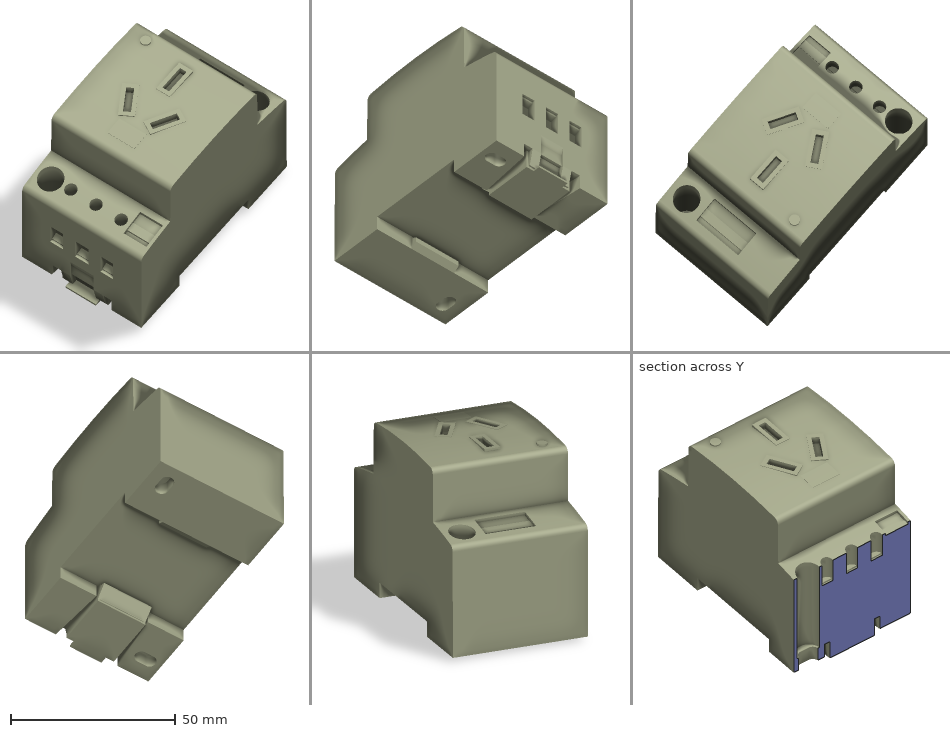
import cadquery as cq

width = 45.0
front_y = -37.35
back_foot_y = 37.55
back_shoulder_y = 37.3
shoulder_edge_z = 36.05
shoulder_mid_y = 30.0
shoulder_mid_z = 37.65
shoulder_root_y = 22.45
shoulder_root_z = 38.95
crown_edge_y = 22.3
crown_edge_z = 56.15
crown_z = 57.4
edge_radius = 2.0

rail_half_width = 17.8
rail_depth = 5.0
fixed_hook_reach = 2.15
fixed_hook_top_z = 4.1
fixed_hook_nose_bottom_z = 1.5
fixed_hook_nose_top_z = 3.2

latch_half_width = 8.65
latch_bottom_z = -1.6
latch_front_y = -35.5
latch_rear_y = -18.0
latch_ramp_start_z = -0.4
latch_nose_y = -14.75
latch_nose_bottom_z = 3.1
latch_nose_top_z = 3.75
latch_neck_y = -16.75
latch_neck_z = 4.25
lever_half_width = 7.85
lever_bottom_z = -0.75
lever_slope = 0.232
tongue_half_width = 5.75
tongue_front_y = -37.93
tongue_thickness = 0.7
notch_half_width_front = 11.3
notch_half_width_rear = 9.4
finger_half_width = 4.4
finger_top_z = 12.3
finger_ledge_z = 9.6
finger_knee_z = 5.35
finger_undercut = 1.2
finger_depth = lever_slope * (finger_top_z - finger_ledge_z)

terminal_pitch = 9.5
terminal_y = -30.0
screw_hole_diameter = 4.1
screw_head_z = 30.0
screw_slot_width = 0.55
screw_slot_depth = 0.6
entry_width = 4.8
middle_entry_width = 5.0
middle_throat_width = 4.5
entry_bottom_z = 16.7
entry_top_z = 24.7
entry_depth = 1.0
throat_bottom_z = 17.05
throat_top_z = 24.1
throat_end_bottom_z = 18.0
throat_end_top_z = 23.25
throat_depth = 2.0

well_diameter = 8.4
well_floor_z = rail_depth
fixing_slot_length = 7.3
fixing_slot_width = 4.3
front_fixing = (-16.85, -30.4)
back_fixing = (16.25, 30.2)

socket_rise = 0.15
socket_top_z = crown_z + socket_rise
pin_surround = (12.0, 5.25)
pin_slot = (9.0, 2.45)
pin_slot_depth = 2.6
earth_pin_y = 10.4
live_pin_x = 6.85
live_pin_y = -3.9
live_pin_angle = 60.0
lamp_diameter = 3.4
lamp_centre = (-16.0, 17.3)
lamp_top_z = 57.2
plate_size = (10.2, 6.2)
plate_y = -14.1
plate_rise = 0.1

label_depth = 1.0
label_raised_depth = 0.75
label_notch_depth = 1.3
label_near_y = 24.75
label_step_y = 28.4
label_notch_y = 31.35
label_lip_y = 32.75
label_lip_rise = 0.05
label_far_y = 33.25
front_label_x = (12.85, 21.45)
back_label_x = (-7.05, 9.75)


def box(x_range, y_range, z_range):
    """Axis-aligned box between pairs of limits."""
    size = [limits[1] - limits[0] for limits in (x_range, y_range, z_range)]
    corner = (x_range[0], y_range[0], z_range[0])
    return cq.Workplane("XY").box(*size, centered=False).translate(corner)


def extrude_section(outline, half_width):
    """Extrude a closed YZ outline symmetrically about X = 0."""
    return outline.close().extrude(half_width, both=True)


def section(points, half_width):
    """Straight-sided YZ section extruded symmetrically about X = 0."""
    return extrude_section(cq.Workplane("YZ").polyline(points), half_width)


def make_housing():
    outline = (
        cq.Workplane("YZ")
        .moveTo(front_y, 0)
        .lineTo(-rail_half_width, 0)
        .lineTo(-rail_half_width, rail_depth)
        .lineTo(rail_half_width, rail_depth)
        .lineTo(rail_half_width, 0)
        .lineTo(back_foot_y, 0)
        .lineTo(back_shoulder_y, shoulder_edge_z)
        .threePointArc((shoulder_mid_y, shoulder_mid_z), (shoulder_root_y, shoulder_root_z))
        .lineTo(crown_edge_y, crown_edge_z)
        .threePointArc((0, crown_z), (-crown_edge_y, crown_edge_z))
        .lineTo(-shoulder_root_y, shoulder_root_z)
        .threePointArc((-shoulder_mid_y, shoulder_mid_z), (front_y, shoulder_edge_z))
    )
    housing = extrude_section(outline, width / 2)
    outer_edges = []
    for y, z in (
        (front_y, shoulder_edge_z),
        (back_shoulder_y, shoulder_edge_z),
        (crown_edge_y, crown_edge_z),
        (-crown_edge_y, crown_edge_z),
    ):
        outer_edges += housing.edges(cq.selectors.NearestToPointSelector((0, y, z))).vals()
    return housing.newObject(outer_edges).fillet(edge_radius)


def latch_notch():
    """Gap through the front foot, narrowing towards the rail."""
    return (
        cq.Workplane("XY")
        .polyline([
            (-notch_half_width_front, front_y),
            (notch_half_width_front, front_y),
            (notch_half_width_rear, -rail_half_width),
            (-notch_half_width_rear, -rail_half_width),
        ])
        .close()
        .extrude(rail_depth)
    )


def make_latch():
    body = section(
        [
            (latch_front_y, latch_bottom_z),
            (latch_rear_y, latch_bottom_z),
            (latch_rear_y, latch_ramp_start_z),
            (latch_nose_y, latch_nose_bottom_z),
            (latch_nose_y, latch_nose_top_z),
            (latch_neck_y, latch_neck_z),
            (latch_neck_y, rail_depth),
            (latch_front_y, rail_depth),
        ],
        latch_half_width,
    )
    tongue = box(
        (-tongue_half_width, tongue_half_width),
        (tongue_front_y, latch_front_y),
        (latch_bottom_z, latch_bottom_z + tongue_thickness),
    )
    lever_bottom_y = front_y + lever_slope * (rail_depth - lever_bottom_z)
    lever = section(
        [
            (front_y, rail_depth),
            (lever_bottom_y, lever_bottom_z),
            (-rail_half_width, lever_bottom_z),
            (-rail_half_width, rail_depth),
        ],
        lever_half_width,
    )
    return body.union(lever).union(tongue)


def finger_recess():
    """Screwdriver access above the latch tongue, leaning back at its top and undercut below its knee."""
    recess_y = front_y + finger_depth
    tongue_top_z = latch_bottom_z + tongue_thickness
    undercut_y = recess_y + finger_undercut
    foot_y = undercut_y + lever_slope * (finger_knee_z - tongue_top_z)
    return section(
        [
            (front_y, finger_top_z),
            (recess_y, finger_ledge_z),
            (recess_y, finger_knee_z),
            (undercut_y, finger_knee_z),
            (foot_y, tongue_top_z),
            (front_y, tongue_top_z),
        ],
        finger_half_width,
    )


def make_fixed_hook():
    tip_y = rail_half_width - fixed_hook_reach
    return section(
        [
            (rail_half_width, 0),
            (rail_half_width, fixed_hook_top_z),
            (tip_y, fixed_hook_nose_top_z),
            (tip_y, fixed_hook_nose_bottom_z),
        ],
        latch_half_width,
    )


def wire_entry(x, mouth_width, end_width):
    """Rectangular mouth followed by a tapered blind throat."""
    throat_y = front_y + entry_depth
    mouth = box(
        (x - mouth_width / 2, x + mouth_width / 2),
        (front_y, throat_y),
        (entry_bottom_z, entry_top_z),
    )
    start_height = throat_top_z - throat_bottom_z
    end_height = throat_end_top_z - throat_end_bottom_z
    start_z = (throat_top_z + throat_bottom_z) / 2
    end_z = (throat_end_top_z + throat_end_bottom_z) / 2
    throat = (
        cq.Workplane("XZ", origin=(x, throat_y, start_z))
        .rect(mouth_width, start_height)
        .workplane(offset=-throat_depth)
        .center(0, end_z - start_z)
        .rect(end_width, end_height)
        .loft()
    )
    return mouth.union(throat)


def screw_hole(x):
    """Round hole down to a slotted screw head."""
    hole = (
        cq.Workplane("XY", origin=(x, terminal_y, screw_head_z))
        .circle(screw_hole_diameter / 2)
        .extrude(crown_z - screw_head_z)
    )
    slot = (
        cq.Workplane("XY", origin=(x, terminal_y, screw_head_z - screw_slot_depth))
        .rect(screw_hole_diameter, screw_slot_width)
        .extrude(screw_slot_depth)
    )
    return hole.union(slot)


def fixing_hole(centre, angle):
    well = (
        cq.Workplane("XY", origin=(*centre, well_floor_z))
        .circle(well_diameter / 2)
        .extrude(crown_z - well_floor_z)
    )
    slot = (
        cq.Workplane("XY", origin=(*centre, 0))
        .slot2D(fixing_slot_length, fixing_slot_width, angle)
        .extrude(well_floor_z)
    )
    return well.union(slot)


def pin_prism(size, x, y, angle, bottom_z):
    """Upright rectangular prism reaching the top of the socket face."""
    return (
        cq.Workplane("XY", origin=(x, y, bottom_z))
        .transformed(rotate=(0, 0, angle))
        .rect(*size)
        .extrude(socket_top_z - bottom_z)
    )


def label_pocket(x_range, side):
    """Pocket with a stepped floor parallel to the shoulder; side is -1 front, +1 back."""
    slope = (shoulder_root_z - shoulder_edge_z) / (back_shoulder_y - shoulder_root_y)

    def floor_point(y, depth):
        return (side * y, shoulder_root_z - slope * (y - shoulder_root_y) - depth)

    points = [
        floor_point(label_near_y, label_depth),
        floor_point(label_step_y, label_depth),
        floor_point(label_step_y, label_raised_depth),
        floor_point(label_notch_y, label_raised_depth),
        floor_point(label_notch_y, label_notch_depth),
        floor_point(label_lip_y, label_notch_depth),
        floor_point(label_far_y, label_notch_depth - label_lip_rise),
        (side * label_far_y, crown_z),
        (side * label_near_y, crown_z),
    ]
    pocket = cq.Workplane("YZ", origin=(x_range[0], 0, 0)).polyline(points).close()
    return pocket.extrude(x_range[1] - x_range[0])


def name_plate():
    """Thin plate lying on the crown, its top following the crown slope."""
    crown_radius = (crown_edge_y**2 + (crown_z - crown_edge_z) ** 2) / (2 * (crown_z - crown_edge_z))
    blank = box(
        (-plate_size[0] / 2, plate_size[0] / 2),
        (plate_y - plate_size[1] / 2, plate_y + plate_size[1] / 2),
        (shoulder_root_z, crown_z),
    )
    crown_cylinder = (
        cq.Workplane("YZ", origin=(0, 0, crown_z - crown_radius))
        .circle(crown_radius + plate_rise)
        .extrude(plate_size[0], both=True)
    )
    return blank.intersect(crown_cylinder)


result = make_housing()
result = result.cut(latch_notch()).union(make_latch()).union(make_fixed_hook())
result = result.cut(finger_recess())

for terminal in (-1, 0, 1):
    result = result.cut(screw_hole(terminal * terminal_pitch))

for side in (-1, 1):
    result = result.cut(wire_entry(side * terminal_pitch, entry_width, entry_width))
result = result.cut(wire_entry(0, middle_entry_width, middle_throat_width))

result = result.cut(fixing_hole(front_fixing, 0)).cut(fixing_hole(back_fixing, 90))
result = result.cut(label_pocket(front_label_x, -1)).cut(label_pocket(back_label_x, 1))

pins = [
    (0, earth_pin_y, 90),
    (-live_pin_x, live_pin_y, -live_pin_angle),
    (live_pin_x, live_pin_y, live_pin_angle),
]
for x, y, angle in pins:
    result = result.union(pin_prism(pin_surround, x, y, angle, shoulder_root_z))
    result = result.cut(pin_prism(pin_slot, x, y, angle, socket_top_z - pin_slot_depth))

lamp = (
    cq.Workplane("XY", origin=(*lamp_centre, shoulder_root_z))
    .circle(lamp_diameter / 2)
    .extrude(lamp_top_z - shoulder_root_z)
)
result = result.union(lamp)
result = result.union(name_plate())